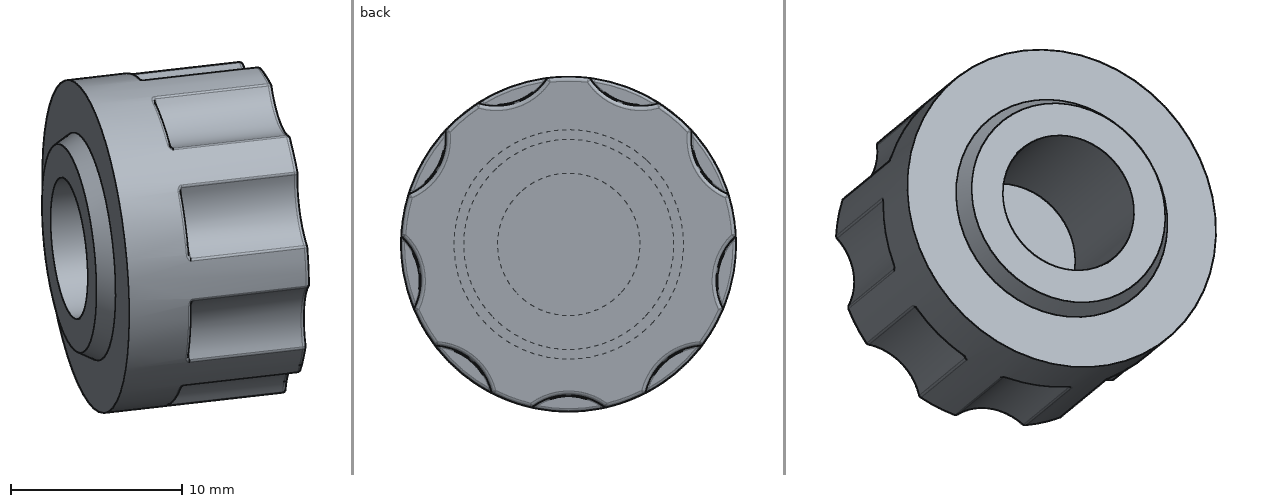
import cadquery as cq
import math

grip_diameter = 19.56
overall_length = 11.93
collar_length = 1.0
collar_base_diameter = 13.4
collar_tip_diameter = 12.26
bore_diameter = 8.31
bore_depth = 8.8

flute_count = 9
flute_length = 7.15
flute_radius = 3.52
flute_depth = 0.98
first_flute_angle = -90.0
root_radius = 0.08
border_radius = 0.2
rim_radius = 0.25

grip_radius = grip_diameter / 2
flute_end = overall_length - flute_length
flute_axis_distance = grip_radius - flute_depth + flute_radius
y_axis = cq.Vector(0, 1, 0)
tolerance = 1.96e-05


def make_cylinder(radius, length, start_y, x=0.0, z=0.0):
    """Cylinder whose axis is parallel to Y, extending towards +Y from start_y."""
    return cq.Workplane(cq.Solid.makeCylinder(radius, length, cq.Vector(x, start_y, z), y_axis))


def cut_flutes(grip):
    """Scallop the grip with equally spaced flutes parallel to its axis."""
    for index in range(flute_count):
        angle = math.radians(first_flute_angle + index * 360 / flute_count)
        x = flute_axis_distance * math.cos(angle)
        z = flute_axis_distance * math.sin(angle)
        grip = grip.cut(make_cylinder(flute_radius, flute_length, flute_end, x, z))
    return grip


def is_flute_root(edge):
    """True for the concave arc where a flute meets its end wall."""
    box = edge.BoundingBox()
    on_end_wall = abs(box.ymin - flute_end) < tolerance and abs(box.ymax - flute_end) < tolerance
    return on_end_wall and abs(edge.radius() - flute_radius) < tolerance


def is_flute_border(edge):
    """True for the sides and the front end of a flute, where it meets the grip cylinder."""
    box = edge.BoundingBox()
    ends = [edge.startPoint(), edge.endPoint()]
    on_cylinder = all(abs(math.hypot(end.x, end.z) - grip_radius) < tolerance for end in ends)
    on_grip_face = box.ymin < collar_length + tolerance or box.ymin > overall_length - tolerance
    return on_cylinder and not on_grip_face


def is_back_rim(edge):
    """True for the edges bounding the back face."""
    return edge.BoundingBox().ymin > overall_length - tolerance


def round_edges(grip, is_chosen, radius):
    """Fillet every edge of the grip accepted by is_chosen."""
    edges = [edge for edge in grip.edges().vals() if is_chosen(edge)]
    return grip.newObject(edges).fillet(radius)


def make_collar():
    """Conical collar that narrows towards its tip at y = 0."""
    tip_radius = collar_tip_diameter / 2
    base_radius = collar_base_diameter / 2
    tip_centre = cq.Vector(0, 0, 0)
    return cq.Workplane(cq.Solid.makeCone(tip_radius, base_radius, collar_length, tip_centre, y_axis))


grip = make_cylinder(grip_radius, overall_length - collar_length, collar_length)
grip = cut_flutes(grip)
grip = round_edges(grip, is_flute_root, root_radius)
grip = round_edges(grip, is_flute_border, border_radius)
grip = round_edges(grip, is_back_rim, rim_radius)

bore = make_cylinder(bore_diameter / 2, bore_depth, 0)
result = grip.union(make_collar()).cut(bore)